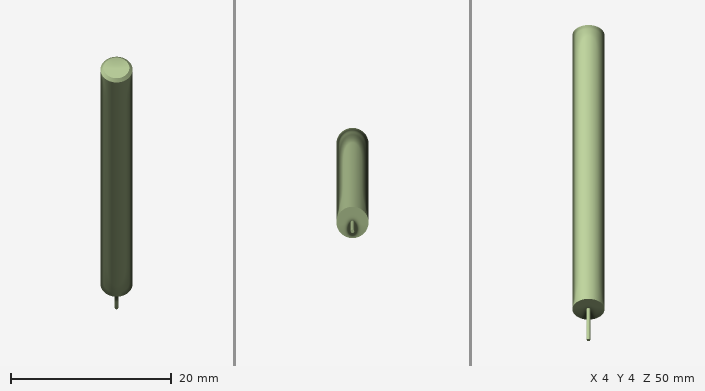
import cadquery as cq

total_length = 50.0
body_diameter = 4.0
body_length = 45.0
top_chamfer_height = 0.35
top_chamfer_inset = 0.4
pin_diameter = 0.5
pin_tip_inset = 0.025
pin_tip_length = 0.5

pin_length = total_length - body_length

pin_tip_z = -total_length / 2
body_bottom_z = pin_tip_z + pin_length

body = (
    cq.Workplane("XY")
    .workplane(offset=body_bottom_z)
    .circle(body_diameter / 2)
    .extrude(body_length)
    .faces(">Z")
    .chamfer(top_chamfer_height, top_chamfer_inset)
)

pin = (
    cq.Workplane("XY")
    .workplane(offset=pin_tip_z)
    .circle(pin_diameter / 2)
    .extrude(pin_length)
    .faces("<Z")
    .chamfer(pin_tip_length, pin_tip_inset)
)

result = body.union(pin)